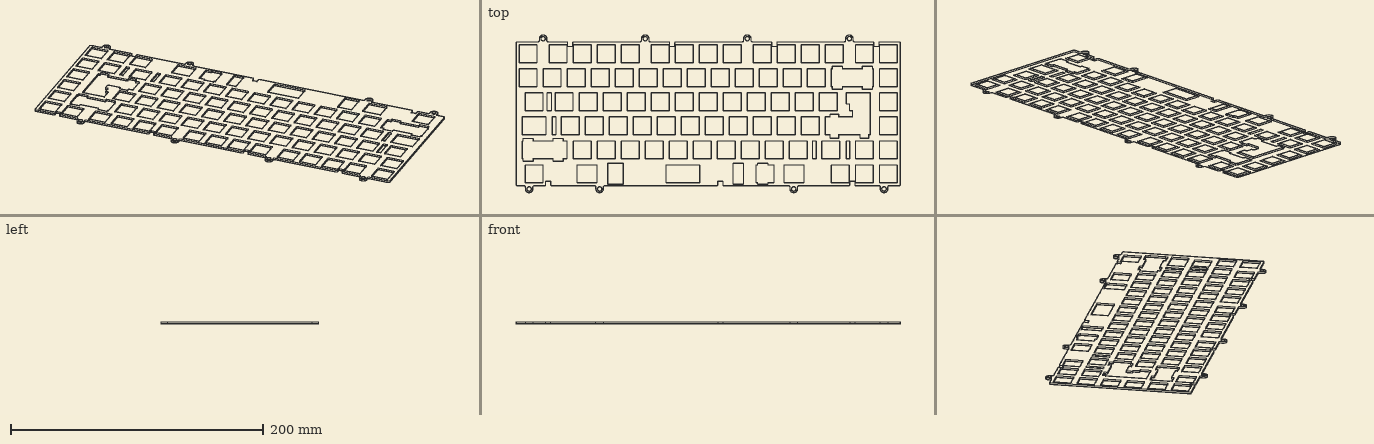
import cadquery as cq

PLATE_LENGTH = 304.8
COLUMNS = 16
ROWS = 6
UNIT = PLATE_LENGTH / COLUMNS
PLATE_DEPTH = ROWS * UNIT
THICKNESS = 1.5

SWITCH = 14.0

STAB_OFFSET = 12.0
STAB_WIDTH = 8.0
STAB_HEIGHT = 18.0

ENTER_STAB_WIDTH = 6.7
ENTER_STAB_RISE = 9.0
ENTER_STAB_DROP = 9.8
ENTER_STAB_REACH = 12.0

SPACE_STAB_WIDTH = 8.2
SPACE_STAB_HEIGHT = 16.5
JOINED_SPACE_STAB_WIDTH = 12.2

MODIFIER_WIDTH = 15.5
SPACE_BAR_WIDTH = 26.5

SLOT = 2.7
WIDE_SLOT = 3.5

EAR_RADIUS = 3.0
EAR_REACH = 5.5
EAR_HOLE = 3.5
NOTCH_WIDTH = 4.0
NOTCH_DEPTH = 3.7
EAR_FOOT_ROUNDING = 1.0
NOTCH_ROUNDING = 1.0
CORNER_ROUNDING = 1.0

REAR_EARS = [1.125, 5.375, 9.625, 13.875]
FRONT_EARS = [0.54, 3.475, 11.56, 15.32]
REAR_NOTCHES = [2.25, 6.5, 10.75, 15.0]
FRONT_NOTCHES = [1.33, 8.5, 14.0]

LAST_COLUMN = COLUMNS - 0.5
SINGLE_KEYS = [
    [0.5, 1.75, 2.75, 3.75, 4.75, 6, 7, 8, 9, 10.25, 11.25, 12.25, 13.25, 14.5, LAST_COLUMN],
    [key + 0.5 for key in range(13)] + [LAST_COLUMN],
    [0.75] + [key + 2 for key in range(12)] + [LAST_COLUMN],
    [key + 2.25 for key in range(11)] + [LAST_COLUMN],
    [key + 2.75 for key in range(10)] + [13.1, 14.5, LAST_COLUMN],
    [0.75, 10.36, 13.5, 14.5, LAST_COLUMN],
]


def column_x(column):
    return column * UNIT - PLATE_LENGTH / 2


def row_y(row):
    return PLATE_DEPTH / 2 - (row + 0.5) * UNIT


def block(x_min, x_max, y_min, y_max):
    """Block of the plate's thickness between two X limits and two Y limits."""
    solid = cq.Workplane("XY").box(x_max - x_min, y_max - y_min, THICKNESS, centered=False)
    return solid.translate((x_min, y_min, 0)).val()


def opening(column, row, width=SWITCH, height=SWITCH):
    x = column_x(column)
    y = row_y(row)
    return block(x - width / 2, x + width / 2, y - height / 2, y + height / 2)


def switch_run(first, last, row):
    """Opening that takes a switch centred anywhere between two columns."""
    return opening((first + last) / 2, row, (last - first) * UNIT + SWITCH)


def stabilized_key(first, last, middle, row):
    """Switch run with a stabilizer opening on each side of the key's middle."""
    offset = STAB_OFFSET / UNIT
    stabs = [opening(middle + side * offset, row, STAB_WIDTH, STAB_HEIGHT) for side in (-1, 1)]
    return [switch_run(first, last, row)] + stabs


def enter_key():
    """Joined opening for a flat enter key in row 3 or an upright one across rows 2 and 3."""
    flat_middle = column_x(13.875)
    upright_column = 14.375
    upright_middle = column_x(upright_column)
    upper_y = row_y(2)
    lower_y = row_y(3)
    between_rows_y = (upper_y + lower_y) / 2
    half_switch = SWITCH / 2
    parts = [
        switch_run(13.25, upright_column, 3),
        switch_run(14.25, upright_column, 2),
        block(upright_middle - half_switch, upright_middle + half_switch, lower_y, upper_y),
        block(
            upright_middle - ENTER_STAB_REACH,
            upright_middle,
            between_rows_y + STAB_OFFSET - STAB_WIDTH / 2,
            upper_y + half_switch,
        ),
    ]
    for side in (-1, 1):
        x = flat_middle + side * STAB_OFFSET
        half_stab = ENTER_STAB_WIDTH / 2
        parts.append(
            block(x - half_stab, x + half_stab, lower_y - ENTER_STAB_DROP, lower_y + ENTER_STAB_RISE)
        )
    return parts


def narrow_slots():
    return [
        opening(1.375, 2, WIDE_SLOT),
        opening(1.58, 3, SLOT),
        opening(12.42, 4, SLOT),
        opening(13.82, 4, SLOT),
    ]


def bottom_row_openings():
    return [
        opening(2.95, 5, MODIFIER_WIDTH),
        opening(11.57, 5, MODIFIER_WIDTH),
        opening(6.94, 5, SPACE_BAR_WIDTH),
        opening(4.14, 5, JOINED_SPACE_STAB_WIDTH, SPACE_STAB_HEIGHT),
        opening(9.25, 5, SPACE_STAB_WIDTH, SPACE_STAB_HEIGHT),
        opening(10.27, 5, SPACE_STAB_WIDTH, SPACE_STAB_HEIGHT),
    ]


def half_plate(ears, notches):
    """Half of the plate on the +Y side, with ears and notches along its edge."""
    edge = PLATE_DEPTH / 2
    ear_y = edge + EAR_REACH - EAR_RADIUS
    half_length = PLATE_LENGTH / 2
    outline = cq.Workplane("XY").moveTo(-half_length, 0).lineTo(-half_length, edge - CORNER_ROUNDING)
    outline = outline.tangentArcPoint((-half_length + CORNER_ROUNDING, edge), relative=False)
    features = [(ear, True) for ear in ears] + [(notch, False) for notch in notches]
    for column, is_ear in sorted(features):
        x = column_x(column)
        half_width = EAR_RADIUS if is_ear else NOTCH_WIDTH / 2
        left = x - half_width
        right = x + half_width
        rounding = EAR_FOOT_ROUNDING if is_ear else NOTCH_ROUNDING
        turn = rounding if is_ear else -rounding
        outline = outline.lineTo(left - rounding, edge)
        outline = outline.tangentArcPoint((left, edge + turn), relative=False)
        if is_ear:
            outline = outline.lineTo(left, ear_y).threePointArc((x, edge + EAR_REACH), (right, ear_y))
        else:
            outline = outline.lineTo(left, edge - NOTCH_DEPTH).lineTo(right, edge - NOTCH_DEPTH)
        outline = outline.lineTo(right, edge + turn)
        outline = outline.tangentArcPoint((right + rounding, edge), relative=False)
    outline = outline.lineTo(half_length - CORNER_ROUNDING, edge)
    outline = outline.tangentArcPoint((half_length, edge - CORNER_ROUNDING), relative=False)
    half = outline.lineTo(half_length, 0).close().extrude(THICKNESS)
    ear_centres = [(column_x(ear), ear_y) for ear in ears]
    holes = cq.Workplane("XY").pushPoints(ear_centres).circle(EAR_HOLE / 2).extrude(THICKNESS)
    return half.cut(holes)


openings = [opening(column, row) for row, keys in enumerate(SINGLE_KEYS) for column in keys]
openings += stabilized_key(13.5, 14.5, 14, 1)
openings += [switch_run(0.625, 0.875, 3)]
openings += stabilized_key(0.625, 1.75, 1.125, 4)
openings += enter_key()
openings += narrow_slots()
openings += bottom_row_openings()

rear_half = half_plate(REAR_EARS, REAR_NOTCHES)
front_half = half_plate(FRONT_EARS, FRONT_NOTCHES).mirror("XZ")
plate = rear_half.union(front_half).clean()
result = cq.Workplane(plate.val().cut(*openings))